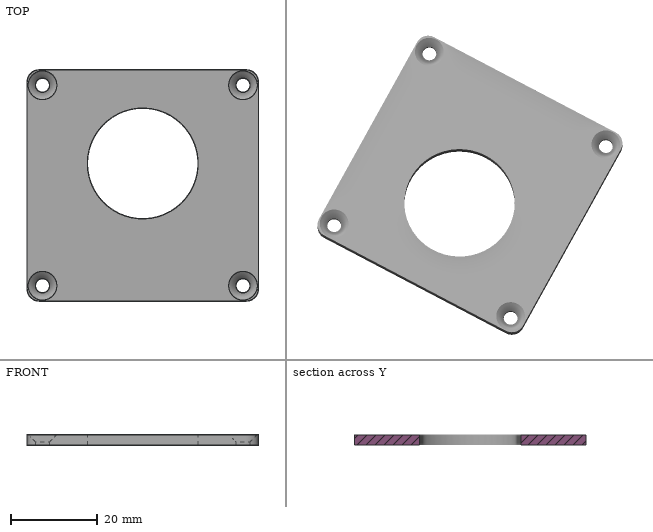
import cadquery as cq

side = 53.6
thickness = 2.5
corner_radius = 2.9

opening_diameter = 25.55
opening_offset_y = 5.1

screw_inset = 3.6
screw_diameter = 3.2
countersink_diameter = 6.65
countersink_angle = 90.0
screw_spacing = side - 2 * screw_inset

plate = (
    cq.Workplane("XY")
    .box(side, side, thickness)
    .edges("|Z")
    .fillet(corner_radius)
)

plate_with_opening = (
    plate.faces(">Z")
    .workplane(origin=(0, 0, 0))
    .center(0, opening_offset_y)
    .hole(opening_diameter)
)

result = (
    plate_with_opening.faces(">Z")
    .workplane(origin=(0, 0, 0))
    .rect(screw_spacing, screw_spacing, forConstruction=True)
    .vertices()
    .cskHole(screw_diameter, countersink_diameter, countersink_angle)
)